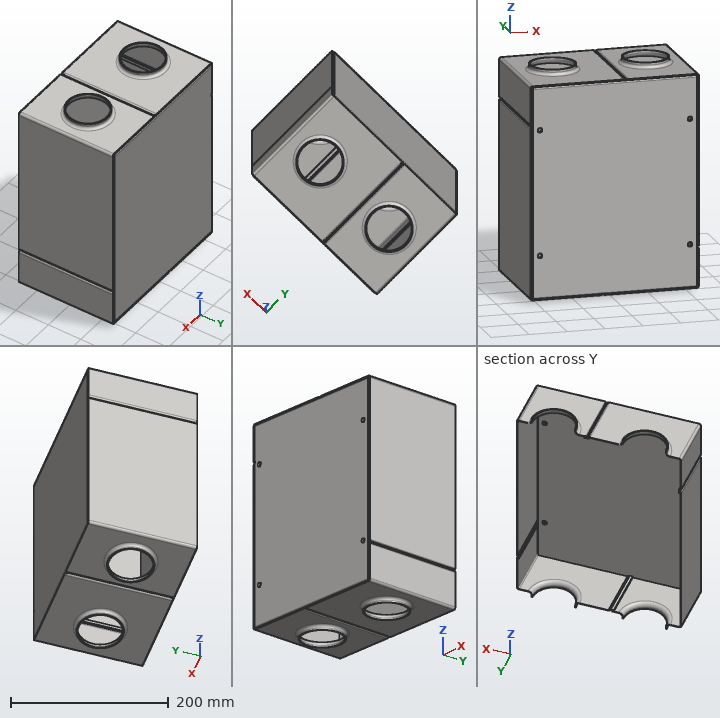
import cadquery as cq
import math

overall_width = 222.3
overall_depth = 147.0
overall_height = 296.0

sheet = 1.95
collar_height = 7.0
inner_bend = 1.5
corner_radius = inner_bend + sheet
half_width = overall_width / 2
half_height = overall_height / 2 - collar_height

seam_x = 15.5
seam_z = 87.3
seam_gap = 1.8
curl_radius = 3.0
edge_radius = 1.2
lap_overlap = 3.0

collar_x = 61.3
collar_outer_radius = 60.5 / 2
collar_inner_radius = 57.0 / 2
flare_radius = 4.0

cover_thickness = 3.8
cover_proud = 1.2
cover_margin = corner_radius
cover_edge_radius = 1.85
screw_hole_diameter = 6.0
screw_pitch_x = 197.7
screw_pitch_z = 165.2

panel_depth = overall_depth - 2 * cover_proud
inner_depth = overall_depth - 2 * cover_thickness


def block(x_min, x_max, z_min, z_max, depth):
    """Box between the given X and Z limits, centred on Y = 0."""
    return (
        cq.Workplane("XY")
        .box(x_max - x_min, depth, z_max - z_min)
        .translate(((x_min + x_max) / 2, 0, (z_min + z_max) / 2))
    )


def half_turn(body):
    """Turn a body 180 degrees about the Y axis."""
    return body.rotate((0, 0, 0), (0, 1, 0), 180)


def add_collar(panel, centre_x):
    """Draw a flared pipe collar out of the top of the box at the given X."""
    inside = half_height - sheet
    flare_end = half_height + flare_radius
    throat_radius = flare_end - inside
    rim_radius = collar_inner_radius + throat_radius + sheet
    outer_mid = (
        collar_outer_radius + flare_radius * (1 - math.sqrt(0.5)),
        flare_end - flare_radius * math.sqrt(0.5),
    )
    inner_mid = (
        collar_inner_radius + throat_radius * (1 - math.sqrt(0.5)),
        flare_end - throat_radius * math.sqrt(0.5),
    )
    collar = (
        cq.Workplane("XZ")
        .moveTo(collar_inner_radius + throat_radius, inside)
        .threePointArc(inner_mid, (collar_inner_radius, flare_end))
        .lineTo(collar_inner_radius, half_height + collar_height)
        .lineTo(collar_outer_radius, half_height + collar_height)
        .lineTo(collar_outer_radius, flare_end)
        .threePointArc(outer_mid, (collar_outer_radius + flare_radius, half_height))
        .lineTo(rim_radius, half_height)
        .lineTo(rim_radius, inside)
        .close()
        .revolve(360, (0, 0, 0), (0, 1, 0))
        .translate((centre_x, 0, 0))
    )
    opening = (
        cq.Workplane("XY", origin=(centre_x, 0, inside))
        .circle(rim_radius)
        .extrude(sheet)
    )
    return panel.cut(opening).union(collar)


def small_panel_envelope():
    """Filled outline of the small upper-left panel, with its three rounded bends."""
    return (
        block(-half_width, seam_x, seam_z, half_height, panel_depth)
        .edges("|Y and <X and >Z").fillet(corner_radius)
        .edges("|Y and >X and >Z").fillet(curl_radius)
        .edges("|Y and <X and <Z").fillet(curl_radius)
    )


def make_small_panel():
    """Upper-left panel: L-shaped sheet whose two ends curl inward at the seams."""
    cavity = (
        block(-half_width + sheet, seam_x - sheet, seam_z + sheet, half_height - sheet, panel_depth)
        .edges("|Y and <X and >Z").fillet(inner_bend)
        .edges("|Y and >X and >Z").fillet(curl_radius - sheet)
        .edges("|Y and <X and <Z").fillet(curl_radius - sheet)
    )
    open_side = block(
        -half_width + curl_radius, seam_x, seam_z, half_height - curl_radius, panel_depth
    )
    panel = small_panel_envelope().cut(cavity).cut(open_side)
    curl_start = seam_x - curl_radius
    curl_bottom = half_height - curl_radius
    curl_relief = block(curl_start, seam_x, curl_bottom, half_height - sheet, panel_depth)
    curl_relief = curl_relief.cut(block(curl_start, seam_x, curl_bottom, half_height, inner_depth))
    panel = panel.cut(curl_relief)
    return add_collar(panel, -collar_x)


def make_large_panel():
    """Upper-right panel: L-shaped sheet with a lap under each seam.

    It is shaped in the lower-left position and then turned into place.
    """
    top_end = seam_z - seam_gap
    right_end = -seam_x - seam_gap
    panel = (
        block(-half_width, right_end, -half_height, top_end, panel_depth)
        .edges("|Y and <X and <Z").fillet(corner_radius)
    )
    cavity = (
        block(-half_width + sheet, right_end, -half_height + sheet, top_end, panel_depth)
        .edges("|Y and <X and <Z").fillet(inner_bend)
    )
    panel = panel.cut(cavity)
    panel = panel.edges("|Y and <X and >Z").fillet(edge_radius)
    panel = panel.edges("|Y and >X and <Z").fillet(edge_radius)

    reach = seam_gap + curl_radius
    side_lap = block(
        -half_width + sheet, -half_width + 2 * sheet,
        top_end - lap_overlap, top_end + reach, inner_depth,
    )
    bottom_lap = block(
        right_end - lap_overlap, right_end + reach,
        -half_height + sheet, -half_height + 2 * sheet, inner_depth,
    )
    side_lap = side_lap.cut(small_panel_envelope())
    bottom_lap = bottom_lap.cut(half_turn(small_panel_envelope()))
    panel = half_turn(panel.union(side_lap).union(bottom_lap))
    return add_collar(panel, collar_x)


def make_plain_cover():
    """Front cover without holes: plate fitted between the top and bottom panels."""
    width = overall_width - 2 * cover_margin
    height = 2 * (half_height - sheet)
    return (
        cq.Workplane("XY")
        .box(width, cover_thickness, height)
        .edges("|X and <Y").fillet(cover_edge_radius)
        .translate((0, (cover_thickness - overall_depth) / 2, 0))
    )


def add_screw_holes(cover):
    """Four screw holes through the front cover."""
    holes = (
        cq.Workplane("XZ", origin=(0, -overall_depth / 2, 0))
        .rarray(screw_pitch_x, screw_pitch_z, 2, 2)
        .circle(screw_hole_diameter / 2)
        .extrude(-cover_thickness)
    )
    return cover.cut(holes)


front_cover = add_screw_holes(make_plain_cover())
back_cover = make_plain_cover().rotate((0, 0, 0), (0, 0, 1), 180)

panels = []
for panel in (make_small_panel(), make_large_panel()):
    panels.extend(panel.solids().vals())
    panels.extend(half_turn(panel).solids().vals())

result = cq.Compound.makeCompound([
    *front_cover.solids().vals(),
    *back_cover.solids().vals(),
    *panels,
])